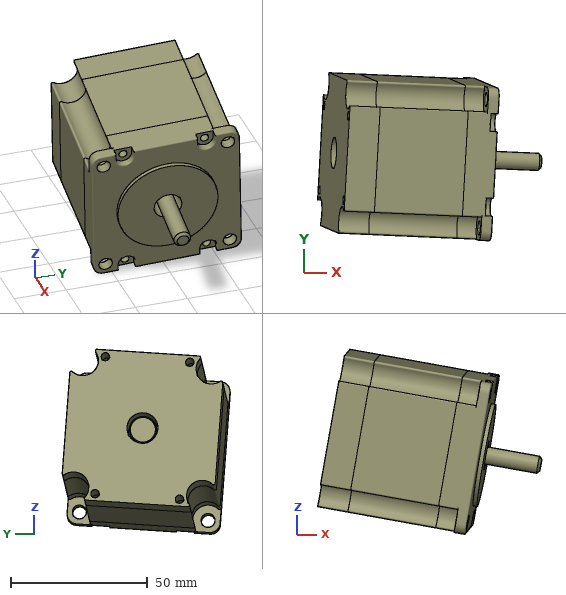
import cadquery as cq
import math


body_width = 56.1
half_width = body_width / 2
mount_offset = 23.6
groove_radius = 5.65
groove_lip_fillet = 0.6

cover_length = 11.2
stator_length = 32.7
flange_body_length = 7.2
plate_thickness = 4.1
pilot_height = 1.55
shaft_reach = 21.7

stator_start = cover_length
flange_start = stator_start + stator_length
plate_start = flange_start + flange_body_length
front_face = plate_start + plate_thickness
pilot_face = front_face + pilot_height
shaft_end = front_face + shaft_reach

plate_corner_radius = 3.6
plate_edge_fillet = 0.5
mount_hole_diameter = 5.1
pilot_diameter = 37.9
front_bore_diameter = 10.5

screw_offset_y = 15.5
screw_offset_z = 25.5
screw_hole_diameter = 3.0
screw_recess_width = 6.55
screw_recess_depth = 2.8

shaft_diameter = 6.4
shaft_tip_chamfer = 1.0
rotor_diameter = 10.0
rotor_chamfer = 0.4
rotor_recess = 3.7
rear_bore_diameter = 11.3

tilt_x = 3.8
tilt_y = 10.2
tilt_z = -2.5

mount_points = [(y, z) for y in (-mount_offset, mount_offset) for z in (-mount_offset, mount_offset)]
screw_points = [(y, z) for y in (-screw_offset_y, screw_offset_y) for z in (-screw_offset_z, screw_offset_z)]


def cross_section(start):
    """Sketch plane square to the shaft axis at the given distance from the rear face."""
    return cq.Workplane("YZ", origin=(start, 0, 0))


def cylinder(start, length, diameter):
    return cross_section(start).circle(diameter / 2).extrude(length)


def screw_holes(start, length):
    return cross_section(start).pushPoints(screw_points).circle(screw_hole_diameter / 2).extrude(length)


def quarter_turned(y, z, quarter):
    """The point turned clockwise about the shaft axis by a number of quarter turns."""
    angle = math.radians(-90 * quarter)
    return (
        y * math.cos(angle) - z * math.sin(angle),
        y * math.sin(angle) + z * math.cos(angle),
    )


def grooved_block(start, length):
    """Square block with a round groove along each corner and rounded groove lips."""
    lip = mount_offset - math.sqrt(groove_radius**2 - (half_width - mount_offset) ** 2)
    groove_bottom = mount_offset - groove_radius / math.sqrt(2)
    outline = cross_section(start).moveTo(lip, half_width)
    for quarter in range(4):
        middle = quarter_turned(groove_bottom, groove_bottom, quarter)
        groove_end = quarter_turned(half_width, lip, quarter)
        outline = outline.threePointArc(middle, groove_end)
        if quarter < 3:
            outline = outline.lineTo(*quarter_turned(half_width, -lip, quarter))
    block = outline.close().extrude(length)
    return block.edges("|X").fillet(groove_lip_fillet)


def make_rear_cover():
    cover = grooved_block(0, cover_length)
    cover = cover.cut(cylinder(0, cover_length, rear_bore_diameter))
    return cover.cut(screw_holes(0, cover_length))


def make_stator():
    stator = grooved_block(stator_start, stator_length)
    stator = stator.cut(cylinder(stator_start, stator_length, rotor_diameter))
    return stator.cut(screw_holes(stator_start, stator_length))


def make_screw_recesses():
    """Slots round a screw at the inner end and open at the top or bottom edge of the plate."""
    floor = front_face - screw_recess_depth
    recesses = cross_section(floor).pushPoints(screw_points).circle(screw_recess_width / 2)
    recesses = recesses.extrude(screw_recess_depth)
    for y, z in screw_points:
        mouth = cross_section(floor).center(y, z + math.copysign(screw_recess_width / 2, z))
        mouth = mouth.rect(screw_recess_width, screw_recess_width).extrude(screw_recess_depth)
        recesses = recesses.union(mouth)
    return recesses


def make_front_flange():
    plate = cross_section(plate_start).rect(body_width, body_width).extrude(plate_thickness)
    plate = plate.edges("|X").fillet(plate_corner_radius)
    holes = cross_section(plate_start).pushPoints(mount_points).circle(mount_hole_diameter / 2)
    plate = plate.cut(holes.extrude(plate_thickness))

    flange = grooved_block(flange_start, flange_body_length).union(plate)
    flange = flange.cut(make_screw_recesses())

    front_outline = flange.faces(">X").val().outerWire().Edges()
    flange = flange.newObject(front_outline).fillet(plate_edge_fillet)

    flange = flange.union(cylinder(front_face, pilot_height, pilot_diameter))
    flange = flange.cut(screw_holes(flange_start, front_face - flange_start))
    return flange.cut(cylinder(flange_start, pilot_face - flange_start, front_bore_diameter))


def make_shaft():
    """Thick rotor section held in the stator, stepped down to the output shaft at the flange."""
    rotor = cylinder(rotor_recess, flange_start - rotor_recess, rotor_diameter)
    rotor = rotor.faces("<X").chamfer(rotor_chamfer)
    output = cylinder(flange_start, shaft_end - flange_start, shaft_diameter)
    output = output.faces(">X").chamfer(shaft_tip_chamfer)
    return rotor.union(output)


def tilted(body):
    origin = (0, 0, 0)
    body = body.rotate(origin, (1, 0, 0), tilt_x)
    body = body.rotate(origin, (0, 1, 0), tilt_y)
    return body.rotate(origin, (0, 0, 1), tilt_z)


rear_cover = tilted(make_rear_cover())
stator = tilted(make_stator())
front_flange = tilted(make_front_flange())
shaft = tilted(make_shaft())

result = cq.Compound.makeCompound([rear_cover.val(), stator.val(), front_flange.val(), shaft.val()])